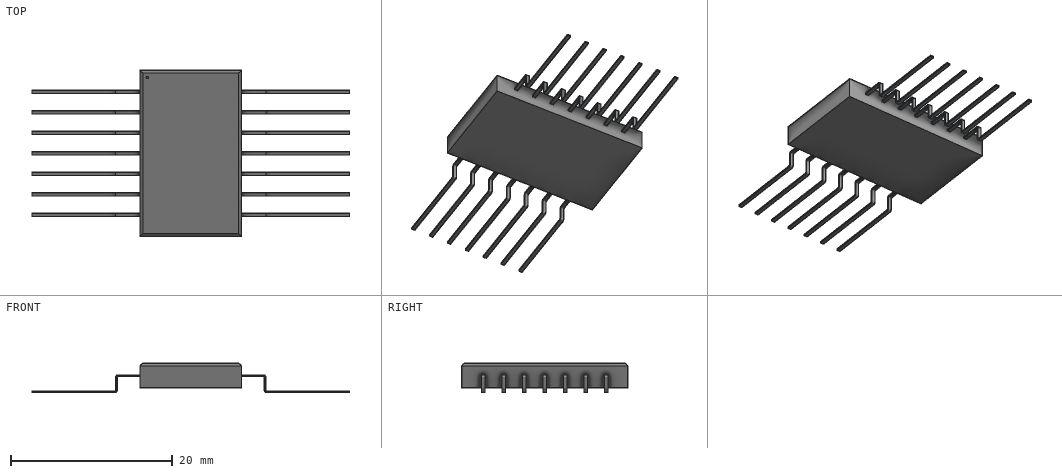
import cadquery as cq

span = 39.37
body_length = 20.6
overall_height = 3.68

body_width = 12.6
standoff = 0.6
body_height = overall_height - standoff
body_top_chamfer = 0.36

mark_diameter = 0.3
mark_depth = 0.1
mark_edge_distance = 0.9

leads_per_side = 7
lead_pitch = 2.54
lead_width = 0.45
lead_thickness = 0.2
lead_shoulder_top = 2.22
lead_post_outer_x = 9.3
lead_embedment = 0.5
bend_inner_radius = 0.1
bend_outer_radius = bend_inner_radius + lead_thickness


def make_body():
    """Rectangular block with its four top edges chamfered."""
    block = cq.Workplane("XY").workplane(offset=standoff).box(
        body_width, body_length, body_height, centered=(True, True, False)
    )
    return block.faces(">Z").edges().chamfer(body_top_chamfer)


def make_pin_one_mark():
    """Cutter for the recess at the -X, +Y corner of the top face."""
    return (
        cq.Workplane("XY")
        .workplane(offset=overall_height - mark_depth)
        .center(mark_edge_distance - body_width / 2, body_length / 2 - mark_edge_distance)
        .circle(mark_diameter / 2)
        .extrude(mark_depth)
    )


def make_lead():
    """Z-shaped lead on the +X side, centred on Y = 0."""
    root_x = body_width / 2 - lead_embedment
    tip_x = span / 2
    post_inner_x = lead_post_outer_x - lead_thickness
    shoulder_bottom = lead_shoulder_top - lead_thickness
    lead = (
        cq.Workplane("XZ")
        .moveTo(root_x, lead_shoulder_top)
        .lineTo(lead_post_outer_x, lead_shoulder_top)
        .lineTo(lead_post_outer_x, lead_thickness)
        .lineTo(tip_x, lead_thickness)
        .lineTo(tip_x, 0)
        .lineTo(post_inner_x, 0)
        .lineTo(post_inner_x, shoulder_bottom)
        .lineTo(root_x, shoulder_bottom)
        .close()
        .extrude(lead_width / 2, both=True)
    )
    shoulder_outer_corner = (lead_post_outer_x, 0, lead_shoulder_top)
    shoulder_inner_corner = (post_inner_x, 0, shoulder_bottom)
    foot_outer_corner = (post_inner_x, 0, 0)
    foot_inner_corner = (lead_post_outer_x, 0, lead_thickness)
    bends = (
        (shoulder_outer_corner, bend_outer_radius),
        (shoulder_inner_corner, bend_inner_radius),
        (foot_outer_corner, bend_outer_radius),
        (foot_inner_corner, bend_inner_radius),
    )
    for corner, radius in bends:
        lead = lead.edges(cq.selectors.NearestToPointSelector(corner)).fillet(radius)
    return lead


result = make_body().cut(make_pin_one_mark())

right_lead = make_lead()
left_lead = right_lead.mirror("YZ")
for index in range(leads_per_side):
    lead_y = (index - (leads_per_side - 1) / 2) * lead_pitch
    for lead in (left_lead, right_lead):
        result = result.union(lead.translate((0, lead_y, 0)))